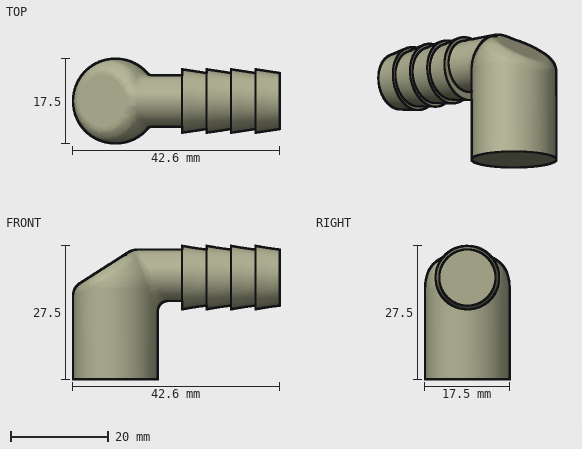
import cadquery as cq
import math

length = 42.55
height = 27.5

body_diameter = 17.5
body_radius = body_diameter / 2
dome_center_z = 18.8

flat_angle = 32.6
flat_distance = 4.75
flat_edge_radius = 2.98

barb_count = 4
barb_pitch = 5.0
barb_large_diameter = 13.1
barb_small_diameter = 11.55
barb_start_x = length - barb_count * barb_pitch
barb_axis_z = height - barb_large_diameter / 2

neck_diameter = 10.65
neck_axis_z = barb_axis_z + (barb_small_diameter - neck_diameter) / 2
neck_blend_radius = 2.0


def make_body():
    """Upright cylinder closed by a hemisphere, with its axis at x = body_radius."""
    half_profile = (
        cq.Workplane("XZ", origin=(body_radius, 0, 0))
        .lineTo(body_radius, 0)
        .lineTo(body_radius, dome_center_z)
        .radiusArc((0, dome_center_z + body_radius), -body_radius)
        .close()
    )
    return half_profile.revolve(360, (0, 0, 0), (0, 1, 0))


def make_neck():
    """Plain horizontal cylinder from the body axis to the first barb."""
    return (
        cq.Workplane("YZ", origin=(body_radius, 0, neck_axis_z))
        .circle(neck_diameter / 2)
        .extrude(barb_start_x - body_radius)
    )


def flat_normal():
    """Outward normal of the sloped flat."""
    angle = math.radians(flat_angle)
    return cq.Vector(-math.sin(angle), 0, math.cos(angle))


def flat_origin():
    """Point of the sloped flat nearest to the dome center."""
    return cq.Vector(body_radius, 0, dome_center_z) + flat_normal() * flat_distance


def cut_flat(solid):
    """Remove everything above the sloped flat."""
    plane = cq.Plane(origin=flat_origin(), xDir=(0, 1, 0), normal=flat_normal())
    waste = cq.Workplane(plane).rect(length, length).extrude(body_diameter)
    return solid.cut(waste)


def blend_neck(solid):
    """Round the inner corner where the neck leaves the body."""
    margin = 0.43
    corner = cq.selectors.BoxSelector(
        (body_radius + margin, -neck_diameter, 0),
        (barb_start_x - margin, neck_diameter, height),
    )
    seam = solid.edges(corner).edges("not(%LINE or %CIRCLE)")
    return seam.fillet(neck_blend_radius)


def round_flat(solid):
    """Round the rim of the sloped flat."""
    flat = solid.faces(cq.selectors.DirectionMinMaxSelector(flat_normal(), True))
    return flat.edges().fillet(flat_edge_radius)


def make_barb(start_x):
    """One tapered barb, largest at the side nearest to the body."""
    return (
        cq.Workplane("YZ", origin=(start_x, 0, barb_axis_z))
        .circle(barb_large_diameter / 2)
        .workplane(offset=barb_pitch)
        .circle(barb_small_diameter / 2)
        .loft(ruled=True)
    )


elbow = blend_neck(make_body().union(make_neck()))
elbow = round_flat(cut_flat(elbow))

result = elbow
for index in range(barb_count):
    result = result.union(make_barb(barb_start_x + index * barb_pitch))